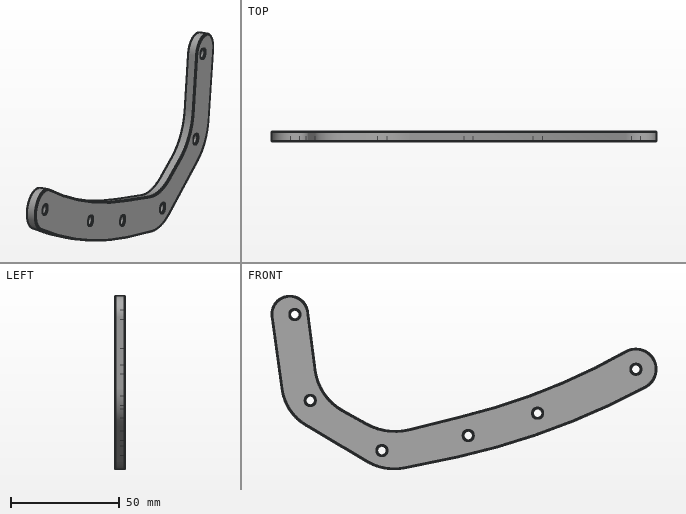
import cadquery as cq
import math

THICKNESS = 5.0
EDGE_CHAMFER = 0.5

SHORT_TIP = (8.5, 71.8)
SHORT_TIP_RADIUS = 8.5
SHORT_ARM_LEAN = 7.7

LONG_TIP = (168.5, 46.3)
LONG_TIP_RADIUS = 9.6
LONG_TIP_SLOPE = 27.0
LOWER_CURVE_START = (86.2, 5.5)
LOWER_CURVE_MIDDLE = (134.5, 20.1)
UPPER_CURVE_START = (87.6, 24.5)
UPPER_CURVE_MIDDLE = (127.4, 37.2)

OUTER_KNEE = (6.2, 26.0)
OUTER_HEEL = (52.4, -1.5)
INNER_KNEE = (22.0, 33.5)
INNER_HEEL = (53.5, 16.0)
BENDS = [
    (OUTER_KNEE, 23.2),
    (OUTER_HEEL, 24.4),
    (INNER_KNEE, 25.0),
    (INNER_HEEL, 27.0),
]

HOLE_DIAMETER = 4.3
HOLE_CHAMFER = 0.5
HOLE_CENTERS = [(10.9, 71.6), (18.0, 31.9), (51.1, 8.7), (91.0, 15.7), (123.0, 26.0), LONG_TIP]


def point_on_circle(center, radius, angle):
    """Point at an angle in degrees, measured from +X toward +Z."""
    turn = math.radians(angle)
    return (center[0] + radius * math.cos(turn), center[1] + radius * math.sin(turn))


def short_tip_point(angle):
    return point_on_circle(SHORT_TIP, SHORT_TIP_RADIUS, angle + SHORT_ARM_LEAN)


def long_tip_point(angle):
    return point_on_circle(LONG_TIP, LONG_TIP_RADIUS, angle + LONG_TIP_SLOPE)


def make_plate():
    """Extrude the bent outline, round its bends and chamfer both face rims."""
    plate = (
        cq.Workplane("XZ")
        .moveTo(*short_tip_point(180))
        .lineTo(*OUTER_KNEE)
        .lineTo(*OUTER_HEEL)
        .lineTo(*LOWER_CURVE_START)
        .threePointArc(LOWER_CURVE_MIDDLE, long_tip_point(-90))
        .threePointArc(long_tip_point(0), long_tip_point(90))
        .threePointArc(UPPER_CURVE_MIDDLE, UPPER_CURVE_START)
        .lineTo(*INNER_HEEL)
        .lineTo(*INNER_KNEE)
        .lineTo(*short_tip_point(0))
        .threePointArc(short_tip_point(90), short_tip_point(180))
        .close()
        .extrude(THICKNESS)
    )
    for (x, z), radius in BENDS:
        corner = cq.selectors.NearestToPointSelector((x, -THICKNESS / 2, z))
        plate = plate.edges("|Y").edges(corner).fillet(radius)
    return plate.faces("<Y or >Y").edges().chamfer(EDGE_CHAMFER)


def make_hole_cutter(center):
    """Through hole with a chamfer at both faces."""
    x, z = center
    radius = HOLE_DIAMETER / 2
    mouth_radius = radius + HOLE_CHAMFER
    profile = [
        (0, 0),
        (mouth_radius, 0),
        (radius, HOLE_CHAMFER),
        (radius, THICKNESS - HOLE_CHAMFER),
        (mouth_radius, THICKNESS),
        (0, THICKNESS),
    ]
    cutter = cq.Workplane("XY").polyline(profile).close().revolve(360, (0, 0), (0, 1))
    return cutter.translate((x, -THICKNESS, z))


result = make_plate()
for hole_center in HOLE_CENTERS:
    result = result.cut(make_hole_cutter(hole_center))